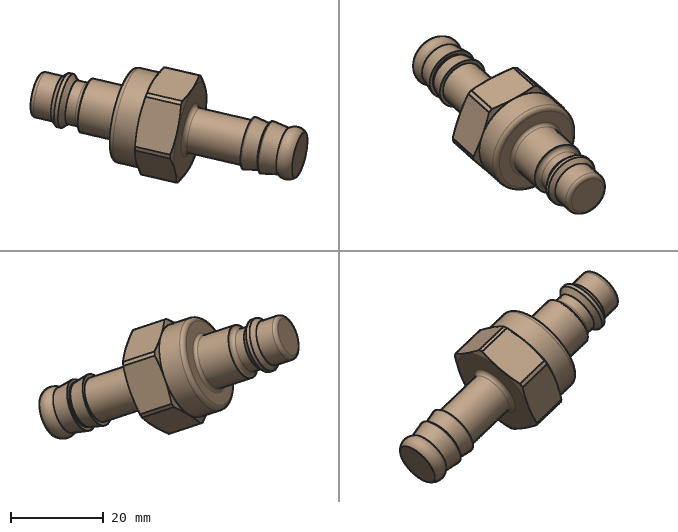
import cadquery as cq
import math


plug_dia = 10.1
plug_edge_radius = 0.9
latch_dia = 12.0
latch_ramp_start = 4.9
latch_crest_start = 6.0
latch_crest_end = 6.9
groove_start = 8.15
groove_dia = 9.7
shoulder_start = 11.4
groove_fillet = 1.0

flange_start = 20.0
flange_dia = 21.0
flange_edge_radius = 1.0
flange_root_fillet = 0.7

hex_start = 26.1
hex_end = 35.0
hex_across_flats = 21.0
hex_corner_dia = 23.7
hex_face_dia = flange_dia
hex_chamfer_length = 0.4
hex_tilt = 8.3

tail_dia = 10.0
tail_root_fillet = 1.0
bulb_start = 56.4
first_barb_start = 48.5
first_barb_end = 52.1
second_barb_start = 52.45
barb_crest_dia = 11.65
barb_end_dia = 10.3
barb_crest_land = 0.25
end_face_dia = 10.1
total_length = 60.0

DIAGONAL = math.sqrt(0.5)


def corner_arc(profile, end, center, radius, x_sign, r_sign):
    """Add a quarter arc that bulges from its center towards the given diagonal."""
    middle = (center[0] + x_sign * radius * DIAGONAL, center[1] + r_sign * radius * DIAGONAL)
    return profile.threePointArc(middle, end)


def barb(profile, start, end):
    """Add a sharp step up, a short land and a taper towards the hose end."""
    crest_r = barb_crest_dia / 2
    profile = profile.lineTo(start, crest_r)
    profile = profile.lineTo(start + barb_crest_land, crest_r)
    return profile.lineTo(end, barb_end_dia / 2)


def turned_body():
    """Revolve the half profile (position along X, radius) about the X axis."""
    plug_r = plug_dia / 2
    latch_r = latch_dia / 2
    groove_r = groove_dia / 2
    flange_r = flange_dia / 2
    tail_r = tail_dia / 2

    p = cq.Workplane("XY").lineTo(0, plug_r - plug_edge_radius)
    nose_center = (plug_edge_radius, plug_r - plug_edge_radius)
    p = corner_arc(p, (plug_edge_radius, plug_r), nose_center, plug_edge_radius, -1, 1)
    p = p.lineTo(latch_ramp_start, plug_r)
    p = p.lineTo(latch_crest_start, latch_r)
    p = p.lineTo(latch_crest_end, latch_r)

    p = p.lineTo(groove_start, groove_r)
    p = p.lineTo(shoulder_start - groove_fillet, groove_r)
    groove_center = (shoulder_start - groove_fillet, groove_r + groove_fillet)
    p = corner_arc(p, (shoulder_start, groove_r + groove_fillet), groove_center, groove_fillet, 1, -1)
    p = p.lineTo(shoulder_start, latch_r)

    p = p.lineTo(flange_start - flange_root_fillet, latch_r)
    root_center = (flange_start - flange_root_fillet, latch_r + flange_root_fillet)
    p = corner_arc(p, (flange_start, latch_r + flange_root_fillet), root_center, flange_root_fillet, 1, -1)
    p = p.lineTo(flange_start, flange_r - flange_edge_radius)
    rim_center = (flange_start + flange_edge_radius, flange_r - flange_edge_radius)
    p = corner_arc(p, (flange_start + flange_edge_radius, flange_r), rim_center, flange_edge_radius, -1, 1)
    p = p.lineTo(hex_start, flange_r)

    p = p.lineTo(hex_start, tail_r + tail_root_fillet)
    p = p.lineTo(hex_end, tail_r + tail_root_fillet)
    tail_center = (hex_end + tail_root_fillet, tail_r + tail_root_fillet)
    p = corner_arc(p, (hex_end + tail_root_fillet, tail_r), tail_center, tail_root_fillet, -1, -1)

    p = p.lineTo(first_barb_start, tail_r)
    p = barb(p, first_barb_start, first_barb_end)
    p = p.lineTo(first_barb_end, tail_r)
    p = p.lineTo(second_barb_start, tail_r)
    p = barb(p, second_barb_start, bulb_start)

    bulb_top = ((bulb_start + total_length) / 2, barb_crest_dia / 2)
    p = p.threePointArc(bulb_top, (total_length, end_face_dia / 2))
    p = p.lineTo(total_length, 0)
    return p.close().revolve(360, (0, 0, 0), (1, 0, 0))


def hexagon():
    """Tilted hexagon whose corners are turned round and chamfered at both ends."""
    length = hex_end - hex_start
    prism = (
        cq.Workplane("YZ", origin=(hex_start, 0, 0))
        .polygon(6, hex_across_flats / math.cos(math.pi / 6))
        .extrude(length)
        .rotate((0, 0, 0), (1, 0, 0), -hex_tilt)
    )
    envelope = (
        cq.Workplane("XY")
        .moveTo(hex_start, 0)
        .lineTo(hex_start, hex_face_dia / 2)
        .lineTo(hex_start + hex_chamfer_length, hex_corner_dia / 2)
        .lineTo(hex_end - hex_chamfer_length, hex_corner_dia / 2)
        .lineTo(hex_end, hex_face_dia / 2)
        .lineTo(hex_end, 0)
        .close()
        .revolve(360, (0, 0, 0), (1, 0, 0))
    )
    return prism.intersect(envelope)


result = turned_body().union(hexagon())